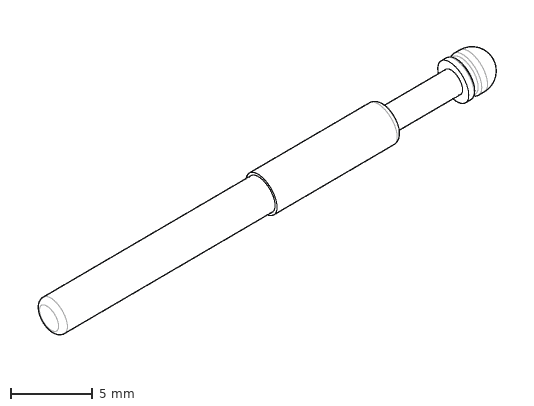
import cadquery as cq
import math

barrel_diameter = 3.0
tail_diameter = 2.6
stem_diameter = 1.8

total_length = 35.3
tail_length = 16.98
barrel_length = 10.0
edge_radius = 0.4

head_radius = barrel_diameter / 2
collar_length = head_radius
upper_land_length = 0.45
groove_width = 0.65

groove_arc_radius = groove_width / 4

barrel_end = tail_length + barrel_length
dome_base = total_length - head_radius
collar_base = dome_base - collar_length
groove_top = dome_base - upper_land_length
groove_bottom = groove_top - groove_width


def cylinder(diameter, start, end):
    """Solid cylinder on the Y axis from start to end."""
    plane = cq.Workplane("XZ", origin=(0, start, 0))
    return plane.circle(diameter / 2).extrude(start - end)


def make_head():
    """Domed head with a smoothly rounded groove, revolved about the Y axis."""
    diagonal = math.sqrt(0.5)
    dome_middle = head_radius * diagonal
    lip_radius = head_radius - groove_arc_radius
    lip_middle_radius = lip_radius + groove_arc_radius * diagonal
    lip_middle_rise = groove_arc_radius * diagonal
    groove_floor_radius = lip_radius - groove_arc_radius
    groove_center = (groove_bottom + groove_top) / 2

    profile = (
        cq.Workplane("XY")
        .moveTo(0, collar_base)
        .lineTo(head_radius, collar_base)
        .lineTo(head_radius, groove_bottom)
        .threePointArc(
            (lip_middle_radius, groove_bottom + lip_middle_rise),
            (lip_radius, groove_bottom + groove_arc_radius),
        )
        .threePointArc(
            (groove_floor_radius, groove_center),
            (lip_radius, groove_top - groove_arc_radius),
        )
        .threePointArc(
            (lip_middle_radius, groove_top - lip_middle_rise),
            (head_radius, groove_top),
        )
        .lineTo(head_radius, dome_base)
        .threePointArc((dome_middle, dome_base + dome_middle), (0, total_length))
        .close()
    )
    return profile.revolve(360, (0, 0, 0), (0, 1, 0))


tail = cylinder(tail_diameter, 0, tail_length).faces("<Y").edges().fillet(edge_radius)
barrel = cylinder(barrel_diameter, tail_length, barrel_end).faces(">Y").edges().fillet(edge_radius)
stem = cylinder(stem_diameter, barrel_end, collar_base)

result = tail.union(barrel).union(stem).union(make_head())